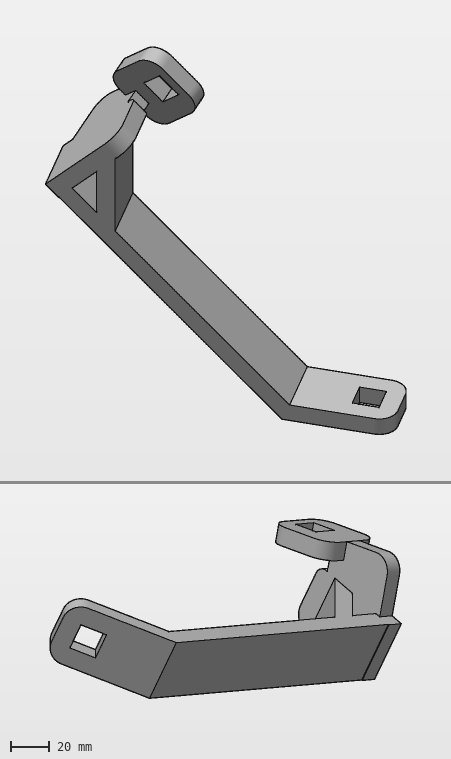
import cadquery as cq
import math

width = 35.0
thickness = 10.0
corner_radius = 10.0
hole_size = 14.5

foot_length = 59.7
foot_hole_margin = 10.2
arm_length = 179.8
slope = math.radians(45)

return_length = 55.0
return_overhang = 0.4
return_back_radius = 5.0

strut_length = 50.0
strut_offset = 27.4
strut_drop = 24.3

side_angle = 18.4
side_length = 55.0
side_width = 39.9
side_start_along = 37.5
side_start_across = 0.8

head_size = 39.9
head_overlap = 9.5
head_lift = 14.6
head_hole_margin = 6.2


def block(plane, x_start, x_size, y_start, y_size, z_start, z_size):
    """Box given by its lowest corner and its sizes in the frame of a plane."""
    corner = cq.Workplane(plane).workplane(offset=z_start)
    return corner.center(x_start, y_start).rect(x_size, y_size, centered=False).extrude(z_size)


arm_top_x = -arm_length * math.cos(slope)
arm_top_z = arm_length * math.sin(slope)

return_plane = cq.Plane(
    origin=(arm_top_x, 0, arm_top_z),
    xDir=(math.cos(slope), 0, math.sin(slope)),
    normal=(-math.sin(slope), 0, math.cos(slope)),
)
side_plane = cq.Plane(
    origin=return_plane.toWorldCoords((side_start_along, side_start_across, 0)),
    xDir=return_plane.xDir,
    normal=return_plane.zDir,
).rotated((0, 0, -side_angle))


def make_foot():
    foot = block(cq.Plane.XY(), 0, foot_length, 0, width, 0, thickness)
    foot = foot.edges("|Z and >X").fillet(corner_radius)
    hole_x = foot_length - foot_hole_margin - hole_size
    hole_y = (width - hole_size) / 2
    return foot.cut(block(cq.Plane.XY(), hole_x, hole_size, hole_y, hole_size, 0, thickness))


def make_arm():
    return block(return_plane, 0, thickness, 0, width, -arm_length, arm_length)


def make_return_plate():
    length = return_length + return_overhang
    plate = block(return_plane, -return_overhang, length, 0, width, -thickness, thickness)
    end_face = cq.selectors.DirectionMinMaxSelector(return_plane.xDir, True)
    corner_lines = cq.selectors.ParallelDirSelector(return_plane.zDir)
    plate = plate.faces(end_face).edges(corner_lines).edges("<Y").fillet(corner_radius)
    return plate.faces(end_face).edges(corner_lines).edges(">Y").fillet(return_back_radius)


def make_strut():
    top_z = arm_top_z + strut_drop
    return block(
        cq.Plane.XY(), arm_top_x + strut_offset, thickness, 0, width, top_z - strut_length, strut_length
    )


def make_side_plate():
    plate = block(side_plane, -side_width, side_width, 0, side_length, -thickness, thickness)
    far_face = plate.faces(cq.selectors.DirectionMinMaxSelector(side_plane.yDir, True))
    return far_face.edges(cq.selectors.ParallelDirSelector(side_plane.zDir)).fillet(corner_radius)


def make_head_plate():
    across = side_length - thickness
    bottom = head_lift - head_size
    plate = block(side_plane, -head_overlap, head_size, across, thickness, bottom, head_size)
    plate = plate.edges(cq.selectors.ParallelDirSelector(side_plane.yDir)).fillet(corner_radius)
    hole_x = head_size - head_overlap - head_hole_margin - hole_size
    hole_z = bottom + (head_size - hole_size) / 2
    return plate.cut(block(side_plane, hole_x, hole_size, across, thickness, hole_z, hole_size))


result = make_foot()
for piece in (make_arm(), make_return_plate(), make_strut(), make_side_plate(), make_head_plate()):
    result = result.union(piece)